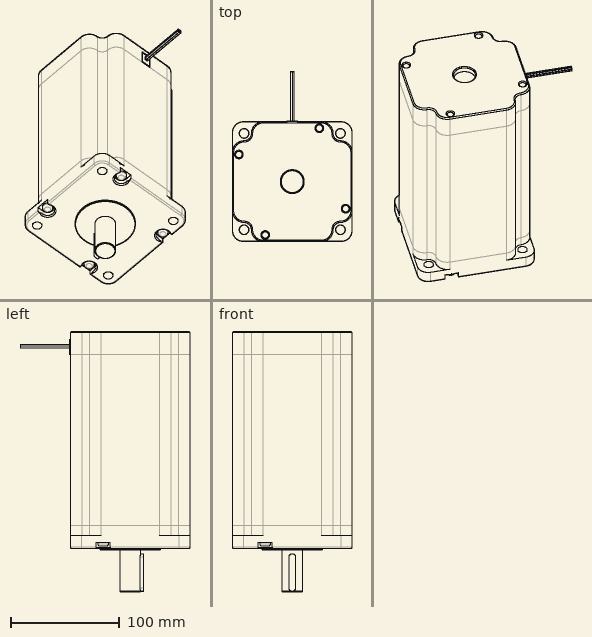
import cadquery as cq
import math

width = 110.5
total_height = 240.0
shaft_length = 39.8
end_height = 21.0
ear_height = 12.2
cap_chamfer = 1.2
flange_edge_fillet = 1.5
flange_corner_radius = 10.0
mount_pitch = 88.8
mount_hole_diameter = 8.6
scallop_radius = 6.7

pilot_diameter = 55.7
pilot_height = 1.5
pilot_chamfer = 0.5
shaft_diameter = 19.2
shaft_chamfer = 0.7
key_width = 6.2
key_length = 34.5
key_tip_gap = 0.5
key_reach = 12.2

bolt_x = 25.0
bolt_y = 49.2
bolt_hole_diameter = 6.0
bolt_hole_depth = 10.0
bolt_hole_chamfer = 1.0
recess_width = 13.0
recess_depth = 5.8
recess_chamfer = 1.2
boss_diameter = 9.5
boss_height = 3.5
boss_fillet = 2.0

bore_diameter = 20.2
bore_depth = 5.5
bore_chamfer = 1.0
pad_width = 9.5
pad_height = 13.7
pad_thickness = 0.7
wire_diameter = 1.8
wire_length = 45.4
cable_drop = 13.7

half_width = width / 2
half_pitch = mount_pitch / 2
housing_height = total_height - shaft_length
stack_height = housing_height - 2 * end_height
cap_bottom = end_height + stack_height
bundle_middle = housing_height - cable_drop


def at_height(z):
    return cq.Workplane("XY", origin=(0, 0, z))


def quarter_turns(shape):
    """Four copies of a shape, a quarter turn apart around Z, in one Workplane."""
    copies = [shape.val().rotate(cq.Vector(0, 0, 0), cq.Vector(0, 0, 1), 90 * turn) for turn in range(4)]
    return cq.Workplane("XY").newObject([cq.Compound.makeCompound(copies)])


def quarter_turned(point, turn):
    """A point moved by a number of quarter turns around the origin."""
    x, y = point
    for _ in range(turn):
        x, y = -y, x
    return (x, y)


def scalloped_prism(bottom, height):
    """Square prism whose corners are rounded S-curves that wrap around the mounting holes."""
    round_radius = half_width - half_pitch
    scallop_edge = half_pitch - scallop_radius
    flat_end = scallop_edge - round_radius
    diagonal = math.sqrt(0.5)
    round_reach = round_radius * diagonal
    scallop_reach = scallop_radius * diagonal
    first_round_middle = (flat_end + round_reach, -half_pitch - round_reach)
    first_round_end = (scallop_edge, -half_pitch)
    scallop_middle = (half_pitch - scallop_reach, -half_pitch + scallop_reach)
    scallop_end = (half_pitch, -scallop_edge)
    last_round_middle = (half_pitch + round_reach, -flat_end - round_reach)
    last_round_end = (half_width, -flat_end)
    side_end = (half_width, flat_end)
    outline = at_height(bottom).moveTo(flat_end, -half_width)
    for turn in range(4):
        outline = (
            outline
            .threePointArc(quarter_turned(first_round_middle, turn), quarter_turned(first_round_end, turn))
            .threePointArc(quarter_turned(scallop_middle, turn), quarter_turned(scallop_end, turn))
            .threePointArc(quarter_turned(last_round_middle, turn), quarter_turned(last_round_end, turn))
            .lineTo(*quarter_turned(side_end, turn))
        )
    return outline.close().extrude(height)


def blind_hole(x, y, diameter, depth, chamfer):
    """Cutter for a blind hole with a chamfered mouth in the top of the cap."""
    drill = cq.Workplane("XY", origin=(x, y, housing_height - depth)).circle(diameter / 2).extrude(depth)
    mouth = cq.Solid.makeCone(
        diameter / 2, diameter / 2 + chamfer, chamfer, cq.Vector(x, y, housing_height - chamfer)
    )
    return drill.union(cq.Workplane(mouth))


def make_cap():
    cap = scalloped_prism(cap_bottom, end_height).faces(">Z").chamfer(cap_chamfer)
    cap = cap.cut(blind_hole(0, 0, bore_diameter, bore_depth, bore_chamfer))
    bolt_hole = blind_hole(bolt_x, bolt_y, bolt_hole_diameter, bolt_hole_depth, bolt_hole_chamfer)
    cap = cap.cut(quarter_turns(bolt_hole))
    cable_pad = (
        at_height(cap_bottom)
        .center(0, half_width + pad_thickness / 2)
        .rect(pad_width, pad_thickness)
        .extrude(pad_height)
    )
    return cap.union(cable_pad)


def bolt_recess():
    """Cutter for a round recess with a chamfered rim that opens through the side of the flange."""
    radius = recess_width / 2
    open_length = half_width - bolt_y
    round_end = at_height(0).center(bolt_x, bolt_y).circle(radius).extrude(recess_depth)
    throat = (
        at_height(0)
        .center(bolt_x, bolt_y + open_length / 2)
        .rect(recess_width, open_length)
        .extrude(recess_depth)
    )
    rim = cq.Solid.makeCone(radius + recess_chamfer, radius, recess_chamfer, cq.Vector(bolt_x, bolt_y, 0))
    return round_end.union(throat).union(cq.Workplane(rim))


def bolt_boss():
    """Round-edged boss that stands in a bolt recess."""
    return (
        at_height(recess_depth - boss_height)
        .center(bolt_x, bolt_y)
        .circle(boss_diameter / 2)
        .extrude(boss_height)
        .faces("<Z")
        .edges()
        .fillet(boss_fillet)
    )


def make_flange():
    base = at_height(0).rect(width, width).extrude(ear_height)
    base = base.edges("|Z").fillet(flange_corner_radius)
    base = base.faces("<Z").edges().fillet(flange_edge_fillet)
    flange = base.union(scalloped_prism(ear_height, end_height - ear_height))
    mount_holes = (
        at_height(0)
        .rect(mount_pitch, mount_pitch, forConstruction=True)
        .vertices()
        .circle(mount_hole_diameter / 2)
        .extrude(ear_height)
    )
    flange = flange.cut(mount_holes)
    flange = flange.cut(quarter_turns(bolt_recess())).union(quarter_turns(bolt_boss()))
    pilot = at_height(-pilot_height).circle(pilot_diameter / 2).extrude(pilot_height)
    pilot = pilot.faces("<Z").chamfer(pilot_chamfer)
    return flange.union(pilot)


def make_housing():
    stack = scalloped_prism(end_height, stack_height)
    return make_flange().union(stack, clean=False).union(make_cap(), clean=False)


def make_shaft():
    shaft = at_height(-shaft_length).circle(shaft_diameter / 2).extrude(shaft_length - pilot_height)
    shaft = shaft.faces("<Z").chamfer(shaft_chamfer)
    key_middle = -shaft_length + key_tip_gap + key_length / 2
    key = cq.Workplane("XZ", origin=(0, 0, key_middle)).slot2D(key_length, key_width, 90).extrude(key_reach)
    return shaft.union(key)


def make_wire(x, z):
    return (
        cq.Workplane("XZ", origin=(x, half_width + pad_thickness, z))
        .circle(wire_diameter / 2)
        .extrude(-wire_length)
    )


housing = make_housing().solids()
shaft = make_shaft()
wire_radius = wire_diameter / 2
wires = [
    make_wire(x, bundle_middle + rise)
    for x in (-wire_radius, wire_radius)
    for rise in (-wire_radius, wire_radius)
]

result = cq.Compound.makeCompound([housing.val(), shaft.val()] + [wire.val() for wire in wires])